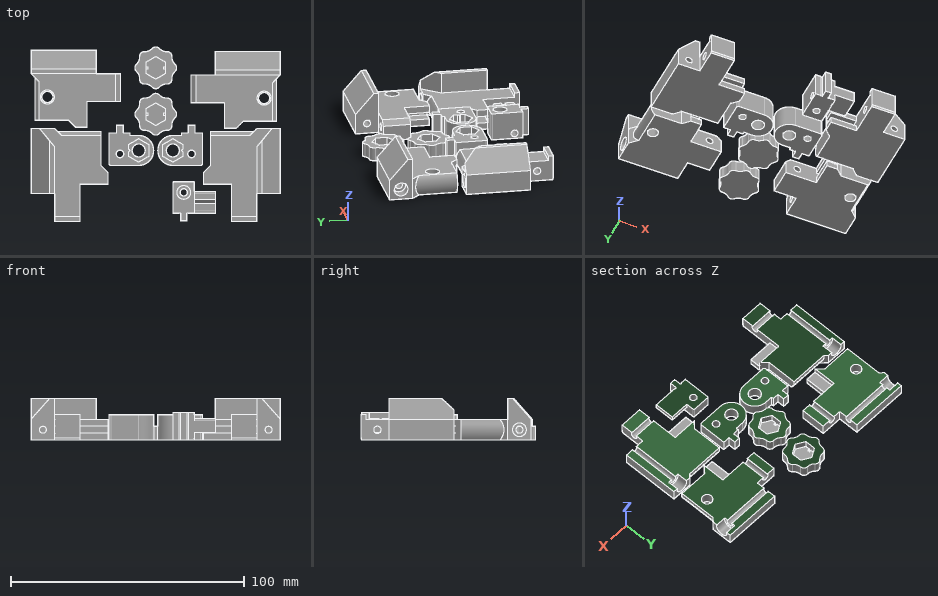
import cadquery as cq
import math

plate_thickness = 9.0
lip_length = 28.0
lip_width = 10.1
lip_height = 18.0
lip_top_width = 2.1
plate_depth = 20.0
foot_depth = 23.0
foot_end = 24.0
foot_tip_length = 5.0
foot_chamfer = foot_depth - plate_depth
edge_bulge = 1.8
slot_height = plate_thickness / 3
hole_height = plate_thickness / 2

lip_hole_diameter = 3.0
lip_counterbore_diameter = 5.9
lip_counterbore_depth = 5.0
tab_hole_diameter = 3.1
tab_hole_position = 32.9

back_tab_length = 38.4
back_tab_width = 12.0
back_tab_chamfer = 2.2
back_edge_inset = 3.4
screw_x = 7.0
screw_y = -10.0
screw_diameter = 4.7
screw_counterbore_diameter = 6.0
screw_counterbore_depth = 3.0

front_tab_length = 40.0
front_tab_width = 11.0
front_edge_inset = 3.1
ridge_width = 2.2
ridge_height = 2.0
ridge_foot_width = 0.35
ridge_foot_height = 0.9
mitre_start = 6.5
mitre_length = 7.9

plate_half_width = 53.5
back_left_y = 63.5
back_right_y = 63.0


def box(x0, x1, y0, y1, z0, z1):
    return cq.Workplane("XY").box(x1 - x0, y1 - y0, z1 - z0, centered=False).translate((x0, y0, z0))


def rod_along_x(diameter, x0, x1, y, z):
    return cq.Workplane("YZ", origin=(x0, y, z)).circle(diameter / 2).extrude(x1 - x0)


def rod_along_y(diameter, x, y0, y1, z):
    return cq.Workplane("XZ", origin=(x, y1, z)).circle(diameter / 2).extrude(y1 - y0)


def rod_along_z(diameter, x, y, z0, z1):
    return cq.Workplane("XY", origin=(x, y, z0)).circle(diameter / 2).extrude(z1 - z0)


def corner_lip():
    profile = [
        (0, 0),
        (0, lip_height),
        (lip_top_width, lip_height),
        (lip_width, plate_thickness),
        (lip_width, 0),
    ]
    return cq.Workplane("YZ").polyline(profile).close().extrude(lip_length)


def corner_plate(tab_length, tab_width, edge_inset):
    foot_start = foot_end - foot_tip_length
    outline = [
        (edge_inset, 0),
        (tab_length, 0),
        (tab_length, -tab_width),
        (foot_end, -tab_width),
        (foot_end, -foot_depth),
        (foot_start, -foot_depth),
        (foot_start - foot_chamfer, -plate_depth),
        (edge_inset, -plate_depth),
    ]
    return cq.Workplane("XY").polyline(outline).close().extrude(plate_thickness)


def bulged_edge(edge_inset):
    """Convex edge strip that runs into the 45 degree mitre beside the lip."""
    strip = (
        cq.Workplane("XZ")
        .moveTo(edge_inset, 0)
        .threePointArc((edge_inset - edge_bulge, plate_thickness / 2), (edge_inset, plate_thickness))
        .close()
        .extrude(plate_depth)
    )
    mitre_triangle = [(0, 0), (edge_inset, 0), (edge_inset, -edge_inset)]
    mitre_wedge = cq.Workplane("XY").polyline(mitre_triangle).close().extrude(plate_thickness)
    return strip.union(mitre_wedge)


def frame_corner(tab_length, tab_width, edge_inset):
    corner = corner_plate(tab_length, tab_width, edge_inset)
    corner = corner.union(corner_lip()).union(bulged_edge(edge_inset))
    foot_start = foot_end - foot_tip_length
    slot = box(foot_start, foot_end, -foot_depth, -tab_width, slot_height, 2 * slot_height)
    corner = corner.cut(slot)
    hole_y = lip_width / 2
    corner = corner.cut(rod_along_x(lip_hole_diameter, 0, lip_length, hole_y, hole_height))
    corner = corner.cut(rod_along_x(lip_counterbore_diameter, 0, lip_counterbore_depth, hole_y, hole_height))
    return corner.cut(rod_along_y(tab_hole_diameter, tab_hole_position, -tab_width, 0, hole_height))


def back_corner():
    corner = frame_corner(back_tab_length, back_tab_width, back_edge_inset)
    bevel = (
        cq.Workplane("XZ")
        .moveTo(back_tab_length - back_tab_chamfer, plate_thickness)
        .lineTo(back_tab_length, plate_thickness)
        .lineTo(back_tab_length, plate_thickness - back_tab_chamfer)
        .close()
        .extrude(back_tab_width)
    )
    corner = corner.cut(bevel)
    screw_hole = rod_along_z(screw_diameter, screw_x, screw_y, 0, plate_thickness)
    seat = plate_thickness - screw_counterbore_depth
    counterbore = rod_along_z(screw_counterbore_diameter, screw_x, screw_y, seat, plate_thickness)
    return corner.cut(screw_hole).cut(counterbore)


def front_corner():
    corner = frame_corner(front_tab_length, front_tab_width, front_edge_inset)
    top = plate_thickness + ridge_height
    ridge = box(front_tab_length - ridge_width, front_tab_length, -front_tab_width, 0, plate_thickness, top)
    bevel = (
        cq.Workplane("XZ")
        .moveTo(front_tab_length - ridge_foot_width, 0)
        .lineTo(front_tab_length, 0)
        .lineTo(front_tab_length, ridge_foot_height)
        .close()
        .extrude(front_tab_width)
    )
    mitre = (
        cq.Workplane("XY", origin=(0, 0, plate_thickness))
        .polyline([(0, 0), (mitre_length, 0), (0, mitre_start)])
        .close()
        .extrude(lip_height)
    )
    return corner.union(ridge).cut(bevel).cut(mitre)


knob_height = 6.0
knob_lobes = 8
lobe_radius = 2.1
lobe_circle = 6.9
valley_reach = 7.9
nut_flats = 8.4
nut_depth = 4.0
floor_notch = 0.9
knob_y_positions = (46.1, 66.0)


def polar(radius, angle):
    return (radius * math.cos(angle), radius * math.sin(angle))


def hexagon(flats, depth, z):
    """Hexagonal prism with two of its flats facing -X and +X."""
    half_corner = math.pi / 6
    corner_radius = flats / 2 / math.cos(half_corner)
    corners = [polar(corner_radius, half_corner * (2 * index + 1)) for index in range(6)]
    return cq.Workplane("XY", origin=(0, 0, z)).polyline(corners).close().extrude(depth)


def knob():
    """Lobed knob: convex lobe arcs run tangentially into concave valley arcs."""
    half_pitch = math.pi / knob_lobes
    reach = lobe_circle * math.cos(half_pitch)
    valley_radius = (lobe_circle**2 + valley_reach**2 - 2 * valley_reach * reach - lobe_radius**2) / (
        2 * (lobe_radius - valley_reach + reach)
    )
    valley_x, valley_y = polar(valley_reach + valley_radius, half_pitch)
    share = lobe_radius / (lobe_radius + valley_radius)
    tangent_x = lobe_circle + share * (valley_x - lobe_circle)
    tangent_y = share * valley_y
    tangent_radius = math.hypot(tangent_x, tangent_y)
    tangent_angle = math.atan2(tangent_y, tangent_x)

    outline = cq.Workplane("XY").moveTo(*polar(tangent_radius, -tangent_angle))
    for lobe in range(knob_lobes):
        middle = 2 * half_pitch * lobe
        outline = outline.threePointArc(
            polar(lobe_circle + lobe_radius, middle), polar(tangent_radius, middle + tangent_angle)
        )
        outline = outline.threePointArc(
            polar(valley_reach, middle + half_pitch),
            polar(tangent_radius, middle + 2 * half_pitch - tangent_angle),
        )
    floor = knob_height - nut_depth
    body = outline.close().extrude(knob_height).cut(hexagon(nut_flats, nut_depth, floor))
    half_notch = floor_notch / 2
    notch = box(-half_notch, half_notch, -half_notch, half_notch, floor - floor_notch, floor)
    for side in (-1, 1):
        body = body.cut(notch.translate((side * (nut_flats / 2 - half_notch), 0, 0)))
    return body


knuckle_height = 11.0
knuckle_radius = 6.5
knuckle_flat_x = -12.8
knuckle_shoulder_x = -3.65
knuckle_shoulder_y = 7.55
knuckle_bore = 5.5
knuckle_nut_flats = 8.7
knuckle_nut_depth = 4.8
knuckle_fillet = 0.9
knuckle_pin_x = -8.0
knuckle_pin_y = -1.5
knuckle_pin_diameter = 3.1
tongue_width = 3.0
tongue_top = 10.9
knuckle_rib_width = 1.2
knuckle_rib_depth = 0.7
knuckle_x = -7.35
knuckle_y = 30.55


def knuckle():
    body = (
        cq.Workplane("XY")
        .moveTo(knuckle_flat_x, -knuckle_radius)
        .lineTo(0, -knuckle_radius)
        .threePointArc((knuckle_radius, 0), (0, knuckle_radius))
        .lineTo(knuckle_shoulder_x, knuckle_radius)
        .lineTo(knuckle_shoulder_x, knuckle_shoulder_y)
        .lineTo(knuckle_flat_x, knuckle_shoulder_y)
        .close()
        .extrude(knuckle_height)
    )
    body = body.edges("|Z and <X and <Y").fillet(knuckle_fillet)
    half_tongue = tongue_width / 2
    body = body.union(
        box(knuckle_pin_x - half_tongue, knuckle_pin_x + half_tongue, 0, tongue_top, 0, knuckle_height)
    )
    floor = knuckle_height - knuckle_nut_depth
    body = body.cut(hexagon(knuckle_nut_flats, knuckle_nut_depth, floor))
    wall = -knuckle_nut_flats / 2
    half_rib = knuckle_rib_width / 2
    rib_triangle = [(wall, -half_rib), (wall + knuckle_rib_depth, 0), (wall, half_rib)]
    rib = cq.Workplane("XY", origin=(0, 0, floor)).polyline(rib_triangle).close().extrude(knuckle_nut_depth)
    body = body.union(rib)
    bore = rod_along_z(knuckle_bore, 0, 0, 0, knuckle_height)
    pin_hole = rod_along_z(knuckle_pin_diameter, knuckle_pin_x, knuckle_pin_y, 0, knuckle_height)
    return body.cut(bore).cut(pin_hole)


clamp_left = 7.4
clamp_width = 9.2
clamp_front = 3.5
clamp_back = 17.2
clamp_height = 12.0
clamp_fillet = 0.5
clamp_tongue_width = 2.75
clamp_tongue_length = 3.2
relief_width = 0.6
relief_depth = 0.2
clamp_screw_y = 12.55
clamp_screw_diameter = 3.0
clamp_counterbore_diameter = 5.9
clamp_counterbore_depth = 3.0
cross_hole_diameter = 3.0
cross_hole_y = 7.1
cross_hole_z = 2.3
bar_length = 9.1
bar_back = 13.0
bar_bottom = 3.3
bar_top = 9.4
bar_fillet = 1.0
notch_front = 7.8
notch_width = 1.6
notch_depth = 1.9


def clamp():
    right = clamp_left + clamp_width
    middle = clamp_left + clamp_width / 2
    block = box(clamp_left, right, clamp_front, clamp_back, 0, clamp_height)
    block = block.edges("|Z and >Y").fillet(clamp_fillet)
    half_tongue = clamp_tongue_width / 2
    tongue_front = clamp_front - clamp_tongue_length
    tongue = box(middle - half_tongue, middle + half_tongue, tongue_front, clamp_front, 0, clamp_height)
    bar = box(right, right + bar_length, clamp_front, bar_back, bar_bottom, bar_top)
    bar = bar.edges("|X and >Z").fillet(bar_fillet)
    notch = (
        cq.Workplane("YZ", origin=(right, 0, 0))
        .moveTo(notch_front, bar_top)
        .lineTo(notch_front, bar_top - notch_depth)
        .lineTo(notch_front + notch_width, bar_top)
        .close()
        .extrude(bar_length)
    )
    bar = bar.cut(notch)
    body = block.union(tongue)
    for side in (-1, 1):
        relief_x = middle + side * (half_tongue + relief_width / 2)
        relief = box(-relief_width / 2, relief_width / 2, 0, relief_depth, 0, clamp_height)
        body = body.cut(relief.translate((relief_x, clamp_front, 0)))
    body = body.union(bar)
    body = body.cut(rod_along_x(cross_hole_diameter, clamp_left, right, cross_hole_y, cross_hole_z))
    screw_hole = rod_along_z(clamp_screw_diameter, middle, clamp_screw_y, 0, clamp_height)
    seat = clamp_height - clamp_counterbore_depth
    counterbore = rod_along_z(clamp_counterbore_diameter, middle, clamp_screw_y, seat, clamp_height)
    return body.cut(screw_hole).cut(counterbore)


back_left = back_corner().translate((-plate_half_width, back_left_y, 0))
back_right = back_corner().mirror("YZ").translate((plate_half_width, back_right_y, 0))

front_right = (
    front_corner()
    .rotate((0, 0, 0), (0, 0, 1), -90)
    .translate((plate_half_width - lip_width, front_tab_length, 0))
)
front_left = front_right.mirror("YZ")

knobs = [knob().translate((0, y, 0)) for y in knob_y_positions]
knuckle_left = knuckle().translate((knuckle_x, knuckle_y, 0))
knuckle_right = knuckle_left.mirror("YZ")

bodies = [back_left, back_right, front_left, front_right, *knobs, knuckle_left, knuckle_right, clamp()]
result = cq.Compound.makeCompound([body.val() for body in bodies])